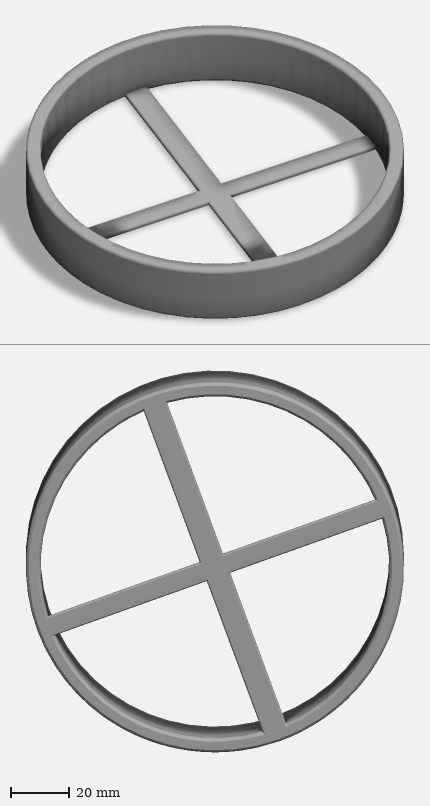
import cadquery as cq

outer_diameter = 129.5
inner_diameter = 119.5
ring_height = 22.0
ring_edge_radius = 1.0
ring_base_chamfer = 1.0

x_bar_width = 8.5
y_bar_width = 7.0
bar_thickness = 2.0
bar_edge_radius = 0.7
bar_base_chamfer = 0.5

bar_length = (outer_diameter + inner_diameter) / 2


def make_ring():
    """Ring standing on Z = 0, chamfered at the base and rounded at the rim and above the chamfers."""
    ring = cq.Workplane("XY").circle(outer_diameter / 2).circle(inner_diameter / 2).extrude(ring_height)
    ring = ring.faces("<Z").edges().chamfer(ring_base_chamfer)
    return ring.edges("%CIRCLE and (not <Z)").fillet(ring_edge_radius)


def make_bar(length_x, length_y):
    """Flat bar centred on the ring axis and resting on Z = 0."""
    return cq.Workplane("XY").box(length_x, length_y, bar_thickness, centered=(True, True, False))


def make_cross():
    """Two bars crossing at the ring axis, chamfered at the base and rounded on top and above the chamfers."""
    cross = make_bar(bar_length, x_bar_width).union(make_bar(y_bar_width, bar_length))
    cross = cross.faces("<Z").edges().chamfer(bar_base_chamfer)
    return cross.edges("#Z and (not <Z)").fillet(bar_edge_radius)


result = make_ring().union(make_cross())